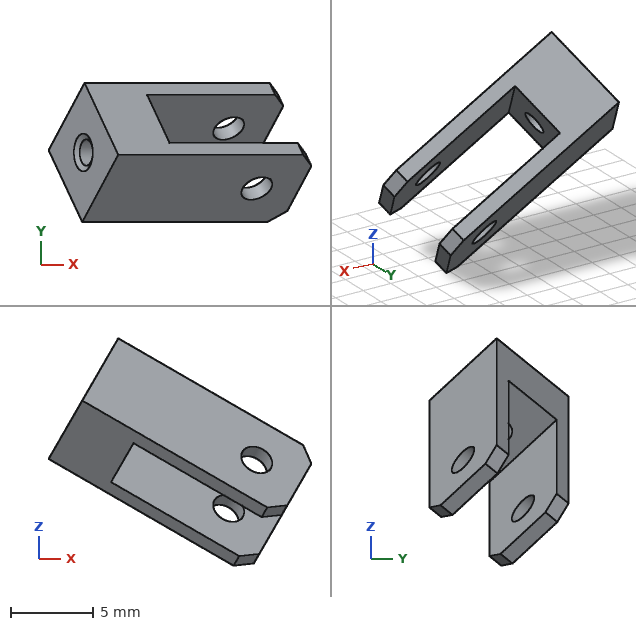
import cadquery as cq
import math

side = 6.0
length = side * 7 / 3
wall = side / 6
base_length = side * 2 / 3
corner_chamfer = side / 6
pin_hole_diameter = side / 3
pin_hole_from_tip = side / 2
bore_diameter = 1.6
countersink_diameter = 2.3
countersink_angle = 120.0

roll = 46.9
pitch = 30.0


def make_body():
    """Square bar along X with chamfered corners at its fork end."""
    bar = cq.Workplane("YZ").rect(side, side).extrude(length)
    return bar.edges(">X and |Z").chamfer(corner_chamfer)


def make_slot():
    """Gap between the two fork arms, open at the tip and both sides."""
    slot_height = side - 2 * wall
    slot = cq.Workplane("XY").box(length - base_length, side, slot_height, centered=(False, True, True))
    return slot.translate((base_length, 0, 0))


def make_pin_hole():
    """Cross hole through both fork arms."""
    return (
        cq.Workplane("XY")
        .center(length - pin_hole_from_tip, 0)
        .circle(pin_hole_diameter / 2)
        .extrude(side / 2, both=True)
    )


def make_bore():
    """Axial bore from the base end into the slot, with a shallow countersink."""
    bore_radius = bore_diameter / 2
    countersink_radius = countersink_diameter / 2
    countersink_depth = (countersink_radius - bore_radius) / math.tan(math.radians(countersink_angle / 2))
    bore = cq.Workplane("YZ").circle(bore_radius).extrude(base_length)
    cone = cq.Solid.makeCone(
        countersink_radius, bore_radius, countersink_depth, cq.Vector(0, 0, 0), cq.Vector(1, 0, 0)
    )
    return bore.union(cq.Workplane(obj=cone))


clevis = make_body().cut(make_slot()).cut(make_pin_hole()).cut(make_bore())

origin = (0, 0, 0)
result = clevis.rotate(origin, (1, 0, 0), roll).rotate(origin, (0, 1, 0), pitch)